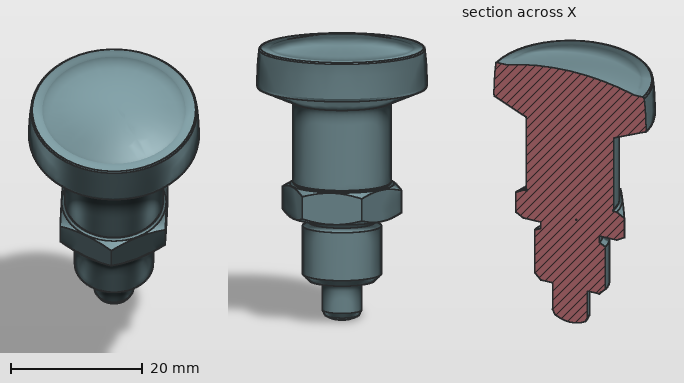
import cadquery as cq
import math

pin_radius = 3.0
tip_rim_radius = 2.6
tip_rim_z = 0.75
tip_chamfer_top_z = 1.53

shank_radius = 6.0
shank_bottom_z = 6.1
shank_bottom_chamfer = 1.05
neck_radius = 5.0
shank_top_z = 15.1
shank_top_chamfer_height = 0.52

hex_across_flats = 16.0
hex_bottom_z = 16.15
hex_top_z = 21.05
hex_chamfer_radius = 7.95
hex_chamfer_angle = 30
hex_turn_angle = 30

sleeve_radius = 7.5
sleeve_bottom_z = 21.15
sleeve_chamfer = 0.2

knob_radius = 13.0
knob_bottom_z = 33.75
knob_lower_edge_z = 36.1
knob_side_bottom_z = 36.55
knob_lower_edge_radius = 12.9
knob_side_middle_radius = 12.9
knob_side_top_radius = 12.65
knob_top_edge = 0.2
knob_rim_z = 42.07
dome_radius = 10.9
total_height = 43.6


def arc_middle(rim_radius, rim_z, pole_z):
    """Point halfway from a dome's rim to its pole; the signed radius lets domes point up or down."""
    rise = pole_z - rim_z
    sphere_radius = (rim_radius**2 + rise**2) / (2 * rise)
    half_angle = math.asin(rim_radius / sphere_radius) / 2
    radius = sphere_radius * math.sin(half_angle)
    return radius, pole_z - sphere_radius * (1 - math.cos(half_angle))


def make_turned_body():
    """Revolve everything but the hexagonal collar about Z."""
    knob_side_top_z = knob_rim_z - knob_top_edge
    knob_side_middle_z = (knob_side_bottom_z + knob_side_top_z) / 2
    profile = (
        cq.Workplane("XZ")
        .moveTo(0, 0)
        .threePointArc(arc_middle(tip_rim_radius, tip_rim_z, 0), (tip_rim_radius, tip_rim_z))
        .lineTo(pin_radius, tip_chamfer_top_z)
        .lineTo(pin_radius, shank_bottom_z)
        .lineTo(shank_radius - shank_bottom_chamfer, shank_bottom_z)
        .lineTo(shank_radius, shank_bottom_z + shank_bottom_chamfer)
        .lineTo(shank_radius, shank_top_z - shank_top_chamfer_height)
        .lineTo(neck_radius, shank_top_z)
        .lineTo(neck_radius, hex_top_z)
        .lineTo(sleeve_radius - sleeve_chamfer, hex_top_z)
        .lineTo(sleeve_radius - sleeve_chamfer, sleeve_bottom_z)
        .lineTo(sleeve_radius, sleeve_bottom_z + sleeve_chamfer)
        .lineTo(sleeve_radius, knob_bottom_z)
        .lineTo(knob_lower_edge_radius, knob_lower_edge_z)
        .lineTo(knob_radius, knob_side_bottom_z)
        .threePointArc(
            (knob_side_middle_radius, knob_side_middle_z),
            (knob_side_top_radius, knob_side_top_z),
        )
        .lineTo(knob_side_top_radius - knob_top_edge, knob_rim_z)
        .lineTo(dome_radius, knob_rim_z)
        .threePointArc(arc_middle(dome_radius, knob_rim_z, total_height), (0, total_height))
        .close()
    )
    return profile.revolve(360, (0, 0), (0, 1))


def make_hex_collar():
    """Hexagonal prism whose corners are turned off conically at both ends."""
    corner_radius = hex_across_flats / math.sqrt(3)
    chamfer_height = (corner_radius - hex_chamfer_radius) * math.tan(math.radians(hex_chamfer_angle))
    prism = (
        cq.Workplane("XY", origin=(0, 0, hex_bottom_z))
        .transformed(rotate=(0, 0, hex_turn_angle))
        .polygon(6, 2 * corner_radius)
        .extrude(hex_top_z - hex_bottom_z)
    )
    envelope = (
        cq.Workplane("XZ")
        .polyline([
            (0, hex_bottom_z),
            (hex_chamfer_radius, hex_bottom_z),
            (corner_radius, hex_bottom_z + chamfer_height),
            (corner_radius, hex_top_z - chamfer_height),
            (hex_chamfer_radius, hex_top_z),
            (0, hex_top_z),
        ])
        .close()
        .revolve(360, (0, 0), (0, 1))
    )
    return prism.intersect(envelope)


result = make_turned_body().union(make_hex_collar())